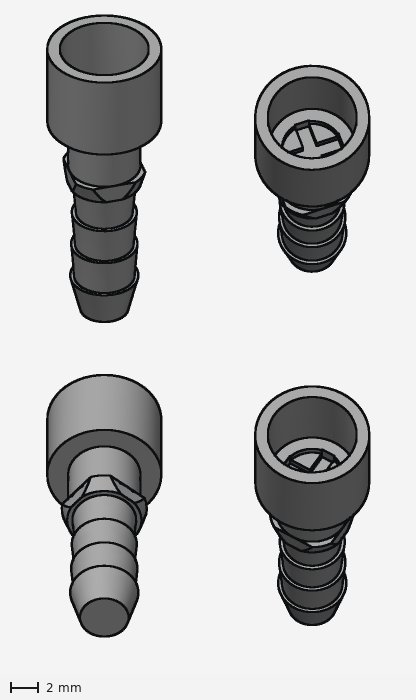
import cadquery as cq

total_height = 23.0
socket_height = 6.4
collar_top = 12.65
barb_pitch = 2.8
tip_height = 2.9
barb_count = 3
collar_bottom = tip_height + barb_count * barb_pitch
socket_bottom = total_height - socket_height

socket_diameter = 8.2
socket_radius = socket_diameter / 2
neck_radius = 2.6
collar_top_radius = 3.05
collar_bottom_radius = 2.67
tip_end_radius = 1.75
tip_top_radius = 2.45
barb_top_radius = 2.4
barb_root_radius = 2.18
barb_top_step = 0.05
barb_root_step = 0.07

flat_width = 2 * neck_radius

bore_mouth_radius = 3.2
bore_floor_radius = 3.15
bore_depth = 5.4
bore_floor = total_height - bore_depth

recess_radius = 2.18
recess_depth = 0.5
cross_width = 1.04
cross_length = 2 * recess_radius
cross_depth = 2 * recess_depth


def revolve_profile(points):
    """Turn a closed (radius, height) outline about the Z axis."""
    return cq.Workplane("XZ").polyline(points).close().revolve(360, (0, 0), (0, 1))


def make_barbed_stem():
    """Tapered tip with a stack of barbs, up to the underside of the collar."""
    points = [(0, 0), (tip_end_radius, 0), (tip_top_radius, tip_height)]
    for level in range(barb_count):
        bottom = tip_height + level * barb_pitch
        points.append((barb_root_radius - level * barb_root_step, bottom))
        points.append((barb_top_radius - level * barb_top_step, bottom + barb_pitch))
    points.append((0, collar_bottom))
    return revolve_profile(points)


def make_collar():
    """Conical collar trimmed to a square by four flats."""
    cone = revolve_profile([
        (0, collar_bottom),
        (collar_bottom_radius, collar_bottom),
        (collar_top_radius, collar_top),
        (0, collar_top),
    ])
    square = cq.Workplane("XY").rect(flat_width, flat_width).extrude(total_height)
    return cone.intersect(square)


def make_neck_and_socket():
    """Plain neck carrying the wider socket cylinder."""
    return revolve_profile([
        (0, collar_top),
        (neck_radius, collar_top),
        (neck_radius, socket_bottom),
        (socket_radius, socket_bottom),
        (socket_radius, total_height),
        (0, total_height),
    ])


def make_bore():
    """Slightly tapered blind bore of the socket."""
    return revolve_profile([
        (0, bore_floor),
        (bore_floor_radius, bore_floor),
        (bore_mouth_radius, total_height),
        (0, total_height),
    ])


def make_floor_recess():
    """Round recess plus two crossed slots, all reaching down from the bore floor."""
    floor = cq.Workplane("XY").workplane(offset=bore_floor)
    recess = floor.circle(recess_radius).extrude(-recess_depth)
    slot_along_x = floor.rect(cross_length, cross_width).extrude(-cross_depth)
    slot_along_y = floor.rect(cross_width, cross_length).extrude(-cross_depth)
    return recess.union(slot_along_x).union(slot_along_y)


body = make_barbed_stem().union(make_collar()).union(make_neck_and_socket())
result = body.cut(make_bore()).cut(make_floor_recess())